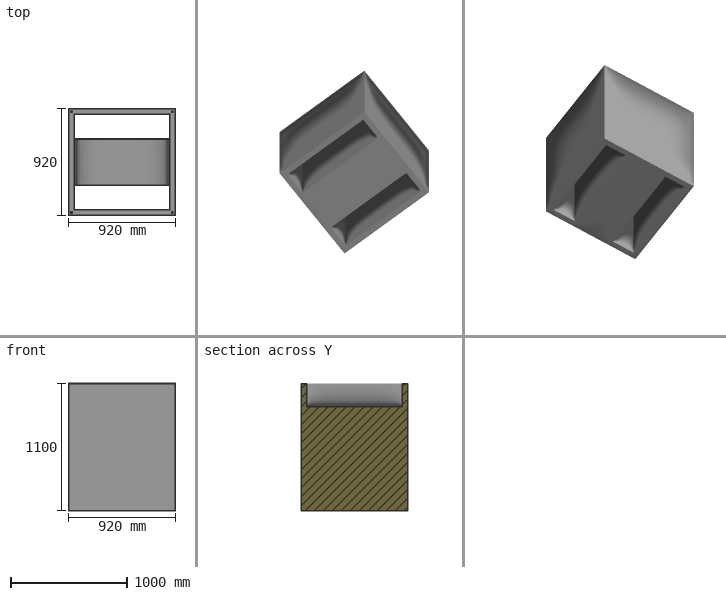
import cadquery as cq

side = 920.0
height = 1100.0
wall = 50.0
block_width = 400.0
block_drop = 200.0
hole_diameter = 10.0
hole_depth = wall

inner_side = side - 2 * wall
block_height = height - block_drop
hole_spacing = side - wall

casing = (
    cq.Workplane("XY")
    .rect(side, side)
    .rect(inner_side, inner_side)
    .extrude(height)
)

block = cq.Workplane("XY").rect(inner_side + wall, block_width).extrude(block_height)

corner_holes = (
    cq.Workplane("XY", origin=(0, 0, height))
    .rect(hole_spacing, hole_spacing, forConstruction=True)
    .vertices()
    .circle(hole_diameter / 2)
    .extrude(-hole_depth)
)

result = casing.union(block).cut(corner_holes)